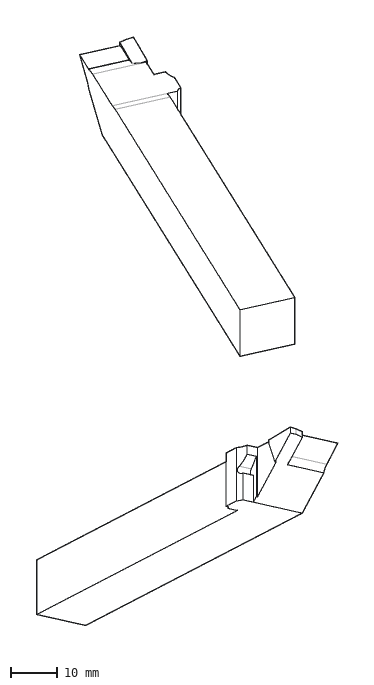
import cadquery as cq

length = 100.0
shank_width = 12.7
shank_height = 12.6
heel_x = 14.6
flank_height = 11.5

head_height = 12.3
head_width = 12.4
head_end_x = 20.9
shank_start_x = 22.7

nose_x = 0.6
ledge_height = 11.9
ledge_end_x = 6.1
ramp_start_height = 11.8
ramp_sag = 0.1
ramp_end_x = 8.7

relief_x = 4.9
relief_height = 8.3
relief_sag = 0.2

insert_near_y = 9.4
insert_end_x = 8.0
insert_back_x = 8.6
insert_skew = 0.3
insert_corner_y = 11.2
tip_height = 12.9
rake_drop = 0.4
side_drop = 0.3

boss_x = 13.4
boss_shoulder_y = 15.1
boss_side_y = 16.2
boss_flat_start_x = 16.0
boss_flat_end_x = 20.0
nose_bulge = 0.2
notch_top = 10.2
notch_mid = 7.9
notch_bottom = 6.2
notch_bend_x = 15.4
notch_floor_x = 14.6
notch_sag = 0.8


def flank_z(x):
    """Height of the sloping front flank at position x."""
    return flank_height * (1 - x / heel_x)


def extrude_across(profile, y_start, y_end):
    """Extrude a closed XZ profile from y_start to y_end."""
    return profile.extrude(-(y_end - y_start)).translate((0, y_start, 0))


body_profile = (
    cq.Workplane("XZ")
    .moveTo(heel_x, 0)
    .lineTo(length, 0)
    .lineTo(length, shank_height)
    .lineTo(shank_start_x, shank_height)
    .lineTo(head_end_x, head_height)
    .lineTo(ramp_end_x, head_height)
    .sagittaArc((ledge_end_x, ramp_start_height), -ramp_sag)
    .lineTo(ledge_end_x, ledge_height)
    .lineTo(nose_x, ledge_height)
    .lineTo(relief_x, relief_height)
    .sagittaArc((ledge_end_x, flank_z(ledge_end_x)), relief_sag)
    .close()
)
body = extrude_across(body_profile, 0, shank_width)
head_side_cut = (
    cq.Workplane("XY", origin=(0, head_width, 0))
    .box(boss_x, shank_width - head_width, shank_height, centered=False)
)
body = body.cut(head_side_cut)

insert_profile = (
    cq.Workplane("XZ")
    .moveTo(0, flank_height)
    .lineTo(0, tip_height)
    .lineTo(insert_back_x, tip_height)
    .lineTo(insert_back_x, ledge_height)
    .lineTo(ledge_end_x, flank_z(ledge_end_x))
    .close()
)
insert_wedge = extrude_across(insert_profile, insert_near_y, shank_width)
rake_plane = cq.Plane(
    origin=(0, shank_width, tip_height),
    xDir=(insert_back_x, 0, -rake_drop),
    normal=(rake_drop / insert_back_x, -side_drop / (shank_width - insert_near_y), 1),
)
below_rake = cq.Workplane(rake_plane).rect(length, length).extrude(-shank_height)
insert_outline = (
    cq.Workplane("XY")
    .polyline(
        [
            (insert_skew, insert_near_y),
            (insert_end_x, insert_near_y),
            (insert_back_x, insert_corner_y),
            (insert_back_x, shank_width),
            (0, shank_width),
            (0, insert_corner_y),
        ]
    )
    .close()
    .extrude(tip_height)
)
insert = insert_wedge.intersect(insert_outline).intersect(below_rake)

boss = (
    cq.Workplane("XY")
    .moveTo(boss_x, head_width)
    .lineTo(boss_x, boss_shoulder_y)
    .sagittaArc((boss_flat_start_x, boss_side_y), -nose_bulge)
    .lineTo(boss_flat_end_x, boss_side_y)
    .sagittaArc((head_end_x, boss_shoulder_y), -nose_bulge)
    .lineTo(head_end_x, head_width)
    .close()
    .extrude(head_height)
)
notch_profile = (
    cq.Workplane("XZ")
    .moveTo(boss_x, 0)
    .lineTo(boss_x, notch_top)
    .lineTo(notch_bend_x, notch_mid)
    .sagittaArc((notch_floor_x, notch_bottom), notch_sag)
    .lineTo(notch_floor_x, 0)
    .close()
)
notch = extrude_across(notch_profile, head_width, boss_side_y)

result = body.union(boss.cut(notch)).union(insert)